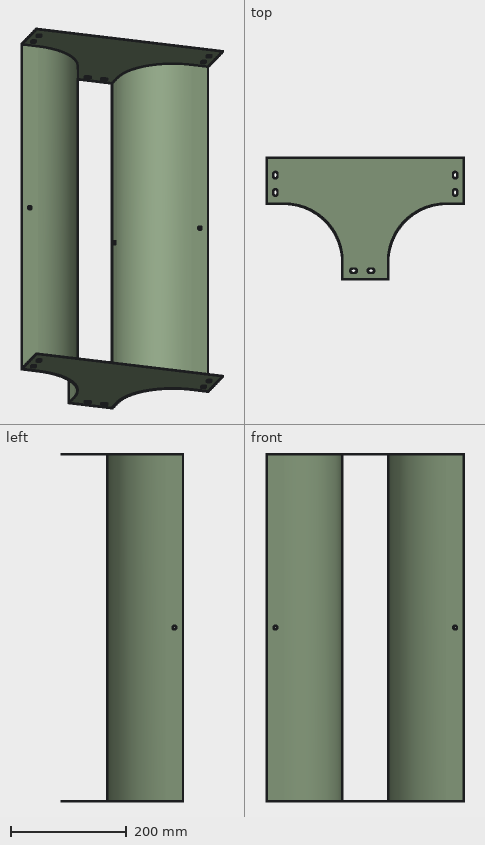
import cadquery as cq

HEIGHT = 600
TRAY_WIDTH = 80.0
STRAIGHT = 30.0
SWEEP_RADIUS = 100.0
THICKNESS = 1.0

HOLE_INSET = 15.0
SLOT_LENGTH = 11.0
SLOT_WIDTH = 7.0
SLOT_PITCH = 30.0
SLOT_OFFSET = 20.0
WALL_HOLE_DIAMETER = 6.0

HALF_BRANCH = TRAY_WIDTH / 2
HALF_RUN = HALF_BRANCH + SWEEP_RADIUS + STRAIGHT
WALL_Y = STRAIGHT + SWEEP_RADIUS
DEPTH = WALL_Y + TRAY_WIDTH
HALF_HEIGHT = HEIGHT / 2
SLOT_YS = (WALL_Y + SLOT_OFFSET, WALL_Y + SLOT_OFFSET + SLOT_PITCH)
SLOT_XS = (SLOT_OFFSET - HALF_BRANCH, SLOT_OFFSET + SLOT_PITCH - HALF_BRANCH)


def tee_prism(offset, half_height):
    """T-shaped block with its two curved sides moved inwards by offset."""
    branch = HALF_BRANCH - offset
    wall_y = WALL_Y + offset
    radius = SWEEP_RADIUS + offset
    arc_x = HALF_BRANCH + SWEEP_RADIUS
    middle = radius * 0.5 ** 0.5
    return (
        cq.Workplane("XY", origin=(0, 0, -half_height))
        .moveTo(-branch, 0)
        .lineTo(branch, 0)
        .lineTo(branch, STRAIGHT)
        .threePointArc((arc_x - middle, STRAIGHT + middle), (arc_x, wall_y))
        .lineTo(HALF_RUN, wall_y)
        .lineTo(HALF_RUN, DEPTH)
        .lineTo(-HALF_RUN, DEPTH)
        .lineTo(-HALF_RUN, wall_y)
        .lineTo(-arc_x, wall_y)
        .threePointArc((middle - arc_x, STRAIGHT + middle), (-branch, STRAIGHT))
        .close()
        .extrude(2 * half_height)
    )


def plate_slots():
    """Slots through both plates: two at each of the three open ends."""
    slots = cq.Workplane("XY", origin=(0, 0, -HALF_HEIGHT))
    run_x = HALF_RUN - HOLE_INSET
    run = slots.pushPoints([(side * run_x, y) for side in (-1, 1) for y in SLOT_YS])
    run = run.slot2D(SLOT_LENGTH, SLOT_WIDTH, 90).extrude(HEIGHT)
    branch = slots.pushPoints([(x, HOLE_INSET) for x in SLOT_XS])
    return run.union(branch.slot2D(SLOT_LENGTH, SLOT_WIDTH).extrude(HEIGHT))


def wall_holes():
    """Round holes at mid-height in the straight walls of the run and branch."""
    run_x = HALF_RUN - HOLE_INSET
    run = (
        cq.Workplane("XZ", origin=(0, DEPTH, 0))
        .pushPoints([(-run_x, 0), (run_x, 0)])
        .circle(WALL_HOLE_DIAMETER / 2)
        .extrude(DEPTH)
    )
    branch = (
        cq.Workplane("YZ", origin=(-HALF_BRANCH, 0, 0))
        .center(HOLE_INSET, 0)
        .circle(WALL_HOLE_DIAMETER / 2)
        .extrude(TRAY_WIDTH)
    )
    return run.union(branch)


outside = tee_prism(0, HALF_HEIGHT)
inside = tee_prism(THICKNESS, HALF_HEIGHT - THICKNESS)
result = outside.cut(inside).cut(plate_slots()).cut(wall_holes())